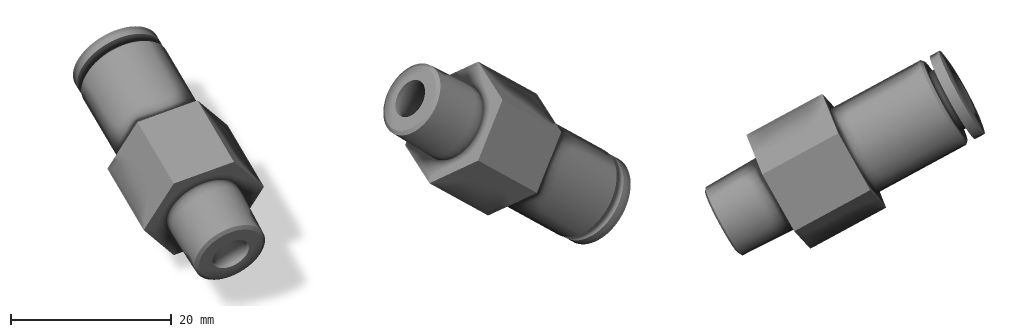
import cadquery as cq
import math


collar_diameter = 11.8
collar_face_diameter = 9.84
collar_bevel_angle = 10
collar_length = 1.5

neck_diameter = 8.35
neck_length = 1.0

body_diameter = 12.0
body_chamfer = 0.35
body_length = 13.0

hex_across_flats = 14.29
hex_across_corners = hex_across_flats / math.cos(math.pi / 6)
hex_length = 10.8

overall_length = 34.3
stub_root_diameter = 10.16
stub_taper = 1 / 16
stub_chamfer_depth = 0.5
stub_chamfer_angle = 30

passage_diameter = 5.0
tube_bore_diameter = 6.35

collar_end = collar_length
body_start = collar_end + neck_length
hex_start = body_start + body_length
hex_end = hex_start + hex_length
tube_bore_depth = hex_start


def make_collar():
    """Release collar with a shallow bevel around its flat face."""
    bevel_depth = (collar_diameter - collar_face_diameter) / 2
    bevel_length = bevel_depth * math.tan(math.radians(collar_bevel_angle))
    collar = cq.Workplane("YZ").circle(collar_diameter / 2).extrude(collar_length)
    return collar.faces("<X").chamfer(bevel_length, bevel_depth)


def make_neck():
    """Reduced cylinder joining the collar to the body."""
    return cq.Workplane("YZ", origin=(collar_end, 0, 0)).circle(neck_diameter / 2).extrude(neck_length)


def make_body():
    """Cylindrical body, chamfered on the collar side."""
    body = cq.Workplane("YZ", origin=(body_start, 0, 0)).circle(body_diameter / 2).extrude(body_length)
    return body.faces("<X").chamfer(body_chamfer)


def make_hex():
    """Hexagonal prism with its corners on the +Y and -Y sides."""
    return cq.Workplane("YZ", origin=(hex_start, 0, 0)).polygon(6, hex_across_corners).extrude(hex_length)


def make_stub():
    """Tapered stub with a chamfered tip, revolved from its half profile."""
    root_radius = stub_root_diameter / 2
    chamfer_length = stub_chamfer_depth * math.tan(math.radians(stub_chamfer_angle))
    chamfer_start = overall_length - chamfer_length
    shoulder_radius = root_radius - stub_taper / 2 * (chamfer_start - hex_end)
    tip_radius = shoulder_radius - stub_chamfer_depth
    profile = (
        cq.Workplane("XZ")
        .moveTo(hex_end, 0)
        .lineTo(hex_end, root_radius)
        .lineTo(chamfer_start, shoulder_radius)
        .lineTo(overall_length, tip_radius)
        .lineTo(overall_length, 0)
        .close()
    )
    return profile.revolve(360, (0, 0, 0), (1, 0, 0))


def make_bores():
    """Tube socket from the collar face, continued by the smaller through passage."""
    passage = cq.Workplane("YZ").circle(passage_diameter / 2).extrude(overall_length)
    tube_bore = cq.Workplane("YZ").circle(tube_bore_diameter / 2).extrude(tube_bore_depth)
    return passage.union(tube_bore)


outer = make_collar().union(make_neck()).union(make_body()).union(make_hex()).union(make_stub())
result = outer.cut(make_bores())